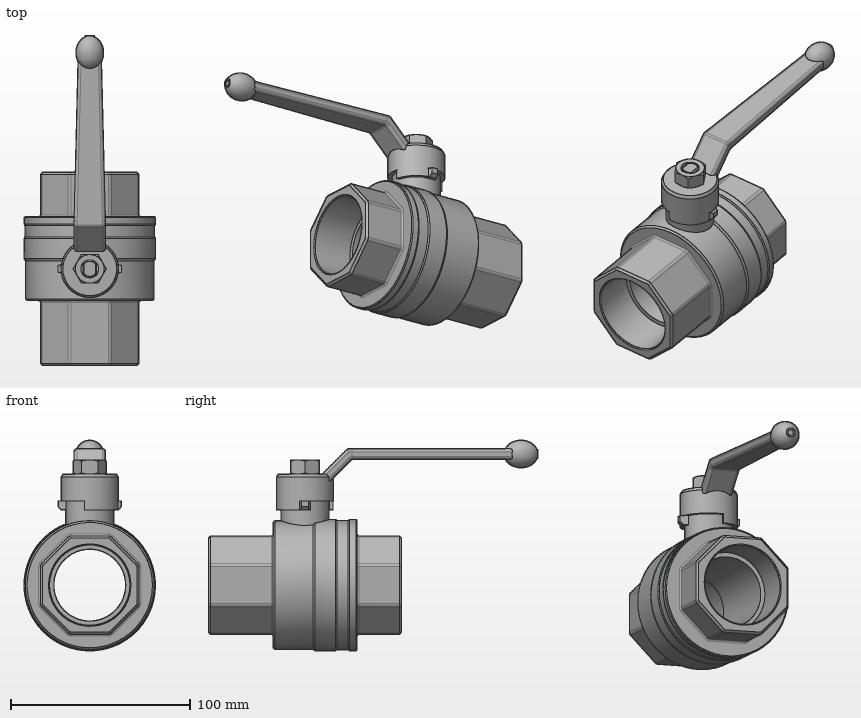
import cadquery as cq
import math


BODY_LENGTH = 108.0
BORE_D = 40.0
THREAD_D = 44.84
THREAD_MOUTH_D = 46.0
THREAD_DEPTH = 24.5

BAND_D = 73.5
GROOVE_D = 72.5
FRONT_D = 72.0
FRONT_FACE_Y = -17.8
STEP_Y = 4.5
STEP_CHAMFER = 1.2
BAND_REAR_Y = 17.0
RIM_FRONT_Y = 25.0
RIM_REAR_Y = 29.2
GROOVE_SLOPE = 0.9
RIM_CHAMFER = 0.6
FRONT_CHAMFER = 1.0

OCTAGON_SIDES = 8
OCTAGON_FLATS = 55.0
OCTAGON_CORNER_R = 2.5
OCTAGON_END_CHAMFER = 1.2
ROOT_FILLET = 1.0
EDGE_TOLERANCE = 0.01

NECK_D = 27.0
LUG_REACH = 17.7
LUG_WIDTH = 6.0
LUG_TIP_WIDTH = 3.8
LUG_UNDERCUT_RUN = 1.7
LUG_UNDERCUT_RISE = 1.8
STEM_D = 10.0
STEM_FLATS = 7.8
STEM_CHAMFER = 0.8

CAP_D = 32.0
CAP_TOP_Z = 62.0
CAP_CHAMFER_DROP = 1.7
CAP_CHAMFER_INSET = 1.0
SKIRT_ID = 28.0
SKIRT_TOP_Z = 47.1
SKIRT_BOTTOM_Z = 42.0
SKIRT_HEIGHT = SKIRT_TOP_Z - SKIRT_BOTTOM_Z
NOTCH_EDGE = LUG_WIDTH / 2

ARM_THICKNESS = 6.0
ARM_MID_Z = 73.25
ARM_BEND_Y = 25.1
ARM_BEND_ANGLE = 45.0
ARM_BEND_WIDTH = 17.6
ARM_TIP_WIDTH = 13.2
ARM_EDGE_FILLET = 1.75
KNOB_Y = 120.7
KNOB_HALF_LENGTH = 9.5
KNOB_D = 15.6
KNOB_END_D = 5.2
KNOB_END_Y = 130.32
KNOB_END_THICKNESS = 0.32
ARM_TIP_Y = 116.0
ARM_FOOT_Y = 8.0

NUT_SIDES = 6
NUT_FLATS = 16.0
NUT_HEIGHT = 8.0
NUT_TOP_Z = CAP_TOP_Z + NUT_HEIGHT
NUT_CHAMFER_ANGLE = 30.0


def cylinder_y(diameter, y_start, y_end):
    """Cylinder on the flow axis from y_start to y_end."""
    plane = cq.Plane(origin=(0, y_start, 0), xDir=(1, 0, 0), normal=(0, 1, 0))
    return cq.Workplane(plane).circle(diameter / 2).extrude(y_end - y_start)


def cylinder_z(diameter, z_start, z_end):
    """Cylinder on the stem axis from z_start to z_end."""
    return cq.Workplane("XY", origin=(0, 0, z_start)).circle(diameter / 2).extrude(z_end - z_start)


def octagon_end(y_root, direction):
    """Octagonal wrench end that grows along Y from a body shoulder to the end of the valve."""
    length = BODY_LENGTH / 2 - abs(y_root)
    plane = cq.Plane(origin=(0, y_root, 0), xDir=(1, 0, 0), normal=(0, direction, 0))
    half_sector = 180 / OCTAGON_SIDES
    corner_d = OCTAGON_FLATS / math.cos(math.radians(half_sector))
    octagon = (
        cq.Workplane(plane)
        .transformed(rotate=(0, 0, half_sector))
        .polygon(OCTAGON_SIDES, corner_d)
        .extrude(length)
        .edges("|Y")
        .fillet(OCTAGON_CORNER_R)
    )
    end_face = ">Y" if direction > 0 else "<Y"
    return octagon.faces(end_face).chamfer(OCTAGON_END_CHAMFER)


def drum():
    """Round middle of the housing: front barrel, band, shallow groove and rear rim."""
    front_r = FRONT_D / 2
    band_r = BAND_D / 2
    groove_r = GROOVE_D / 2
    return (
        cq.Workplane("XY")
        .moveTo(0, FRONT_FACE_Y)
        .lineTo(front_r - FRONT_CHAMFER, FRONT_FACE_Y)
        .lineTo(front_r, FRONT_FACE_Y + FRONT_CHAMFER)
        .lineTo(front_r, STEP_Y)
        .lineTo(band_r, STEP_Y + STEP_CHAMFER)
        .lineTo(band_r, BAND_REAR_Y)
        .lineTo(groove_r, BAND_REAR_Y + GROOVE_SLOPE)
        .lineTo(groove_r, RIM_FRONT_Y - GROOVE_SLOPE)
        .lineTo(band_r, RIM_FRONT_Y)
        .lineTo(band_r, RIM_REAR_Y - RIM_CHAMFER)
        .lineTo(band_r - RIM_CHAMFER, RIM_REAR_Y)
        .lineTo(0, RIM_REAR_Y)
        .close()
        .revolve(360, (0, 0, 0), (0, 1, 0))
    )


def threaded_mouth():
    """Plain thread bore with a chamfered mouth at the -Y end."""
    end_y = -BODY_LENGTH / 2
    mouth_chamfer = (THREAD_MOUTH_D - THREAD_D) / 2
    return (
        cq.Workplane("XY")
        .moveTo(0, end_y)
        .lineTo(THREAD_MOUTH_D / 2, end_y)
        .lineTo(THREAD_D / 2, end_y + mouth_chamfer)
        .lineTo(THREAD_D / 2, end_y + THREAD_DEPTH)
        .lineTo(0, end_y + THREAD_DEPTH)
        .close()
        .revolve(360, (0, 0, 0), (0, 1, 0))
    )


def stop_lugs():
    """Pair of lugs on opposite sides of the neck, joined through its middle and tapered in plan."""
    half_width = LUG_WIDTH / 2
    root = math.sqrt((NECK_D / 2) ** 2 - half_width**2)
    undercut_start = LUG_REACH - LUG_UNDERCUT_RUN
    half_tip = LUG_TIP_WIDTH / 2
    right_side = [
        (root, -half_width),
        (LUG_REACH, -half_tip),
        (LUG_REACH, half_tip),
        (root, half_width),
    ]
    left_side = [(-x, -y) for x, y in right_side]
    plan = cq.Workplane("XY", origin=(0, 0, SKIRT_BOTTOM_Z))
    lugs = plan.polyline(right_side + left_side).close().extrude(SKIRT_HEIGHT)
    side = (
        cq.Workplane("XZ", origin=(0, half_width, 0))
        .moveTo(-LUG_REACH, SKIRT_TOP_Z)
        .lineTo(LUG_REACH, SKIRT_TOP_Z)
        .lineTo(LUG_REACH, SKIRT_BOTTOM_Z + LUG_UNDERCUT_RISE)
        .lineTo(undercut_start, SKIRT_BOTTOM_Z)
        .lineTo(-undercut_start, SKIRT_BOTTOM_Z)
        .lineTo(-LUG_REACH, SKIRT_BOTTOM_Z + LUG_UNDERCUT_RISE)
        .close()
        .extrude(LUG_WIDTH)
    )
    return lugs.intersect(side)


def flatted_stem(z_start, z_end):
    """Round stem with two flats facing +X and -X."""
    height = z_end - z_start
    flats = cq.Workplane("XY", origin=(0, 0, z_start)).rect(STEM_FLATS, STEM_D).extrude(height)
    return cylinder_z(STEM_D, z_start, z_end).intersect(flats)


def root_edges(shell, shoulder_y):
    """Edges where an octagonal end meets the flat shoulder of the drum."""
    low_corner = (-BAND_D, shoulder_y - EDGE_TOLERANCE, -BAND_D)
    high_corner = (BAND_D, shoulder_y + EDGE_TOLERANCE, BAND_D)
    at_shoulder = shell.edges(cq.selectors.BoxSelector(low_corner, high_corner))
    return at_shoulder.filter(lambda edge: edge.Length() < OCTAGON_FLATS)


def make_housing():
    """Drum with its octagonal ends, neck, lugs and stem, bored through along Y."""
    shell = drum()
    for shoulder_y, direction in ((FRONT_FACE_Y, -1), (RIM_REAR_Y, 1)):
        shell = shell.union(octagon_end(shoulder_y, direction))
        shell = root_edges(shell, shoulder_y).fillet(ROOT_FILLET)
    shell = shell.union(cylinder_z(NECK_D, 0, SKIRT_TOP_Z)).union(stop_lugs())
    stem = flatted_stem(SKIRT_TOP_Z, NUT_TOP_Z).faces(">Z").chamfer(STEM_CHAMFER)
    shell = shell.union(stem)
    shell = shell.cut(cylinder_y(BORE_D, -BODY_LENGTH / 2, BODY_LENGTH / 2))
    front_mouth = threaded_mouth()
    return shell.cut(front_mouth).cut(front_mouth.mirror("XZ"))


def skirt_notches():
    """Two clearances that let the skirt swing past the lugs, one reaching -X and one +X."""
    base = cq.Workplane("XY", origin=(0, 0, SKIRT_BOTTOM_Z))
    notch = base.box(CAP_D, CAP_D, SKIRT_HEIGHT, centered=False)
    left = notch.translate((-NOTCH_EDGE - CAP_D, NOTCH_EDGE - CAP_D, 0))
    right = notch.translate((-NOTCH_EDGE, -NOTCH_EDGE, 0))
    return left.union(right)


def make_cap():
    """Round cap over the neck, with a notched skirt below it."""
    cap = cylinder_z(CAP_D, SKIRT_BOTTOM_Z, CAP_TOP_Z)
    cap = cap.faces(">Z").chamfer(CAP_CHAMFER_DROP, CAP_CHAMFER_INSET)
    cap = cap.cut(cylinder_z(SKIRT_ID, SKIRT_BOTTOM_Z, SKIRT_TOP_Z))
    return cap.cut(skirt_notches())


def make_arm():
    """Arm that runs level from the knob, then bends down into the cap, widening up to the bend."""
    top_z = ARM_MID_Z + ARM_THICKNESS / 2
    bottom_z = ARM_MID_Z - ARM_THICKNESS / 2
    bend_angle = math.radians(ARM_BEND_ANGLE)
    miter_shift = ARM_THICKNESS / 2 * math.tan(bend_angle / 2)
    bend_top_y = ARM_BEND_Y - miter_shift
    bend_bottom_y = ARM_BEND_Y + miter_shift
    foot_top_z = top_z - (bend_top_y - ARM_FOOT_Y) * math.tan(bend_angle)
    foot_bottom_z = foot_top_z - ARM_THICKNESS / math.cos(bend_angle)
    side_outline = [
        (ARM_TIP_Y, top_z),
        (bend_top_y, top_z),
        (ARM_FOOT_Y, foot_top_z),
        (ARM_FOOT_Y, foot_bottom_z),
        (bend_bottom_y, bottom_z),
        (ARM_TIP_Y, bottom_z),
    ]
    half_tip = ARM_TIP_WIDTH / 2
    half_bend = ARM_BEND_WIDTH / 2
    plan_outline = [
        (-half_tip, ARM_TIP_Y),
        (half_tip, ARM_TIP_Y),
        (half_bend, bend_bottom_y),
        (half_bend, ARM_FOOT_Y),
        (-half_bend, ARM_FOOT_Y),
        (-half_bend, bend_bottom_y),
    ]
    side = cq.Workplane("YZ").polyline(side_outline).close().extrude(half_bend, both=True)
    plan = cq.Workplane("XY").polyline(plan_outline).close().extrude(top_z)
    arm = side.intersect(plan)
    edges_to_round = arm.edges("not(<Y or >Y)").edges("not(|Z)")
    return edges_to_round.fillet(ARM_EDGE_FILLET)


def make_knob():
    """Egg-shaped grip, longer along the arm, with a small flat disc at its end."""
    egg = (
        cq.Workplane("XY")
        .moveTo(0, -KNOB_HALF_LENGTH)
        .ellipseArc(KNOB_D / 2, KNOB_HALF_LENGTH, -90, 90)
        .close()
        .revolve(360, (0, 0, 0), (0, 1, 0))
        .translate((0, KNOB_Y, ARM_MID_Z))
    )
    disc = cylinder_y(KNOB_END_D, KNOB_END_Y - KNOB_END_THICKNESS, KNOB_END_Y)
    return egg.union(disc.translate((0, 0, ARM_MID_Z)))


def make_lever():
    """Cap, arm and knob in one piece, with a hole that fits the flatted stem."""
    lever = make_cap().union(make_arm()).union(make_knob())
    return lever.cut(flatted_stem(SKIRT_TOP_Z, CAP_TOP_Z))


def make_nut():
    """Hexagon nut with corners bevelled on both faces and a round hole over the flatted stem."""
    corner_d = NUT_FLATS / math.cos(math.pi / NUT_SIDES)
    nut = cq.Workplane("XY", origin=(0, 0, CAP_TOP_Z)).polygon(NUT_SIDES, corner_d).extrude(NUT_HEIGHT)
    bevel_run = (corner_d - NUT_FLATS) / 2
    bevel_rise = bevel_run * math.tan(math.radians(NUT_CHAMFER_ANGLE))
    bevel = cylinder_z(corner_d, CAP_TOP_Z, NUT_TOP_Z).edges().chamfer(bevel_rise, bevel_run)
    nut = nut.intersect(bevel)
    return nut.cut(cylinder_z(STEM_D, CAP_TOP_Z, NUT_TOP_Z))


housing = make_housing()
lever = make_lever()
nut = make_nut()
result = cq.Compound.makeCompound([housing.val(), lever.val(), nut.val()])